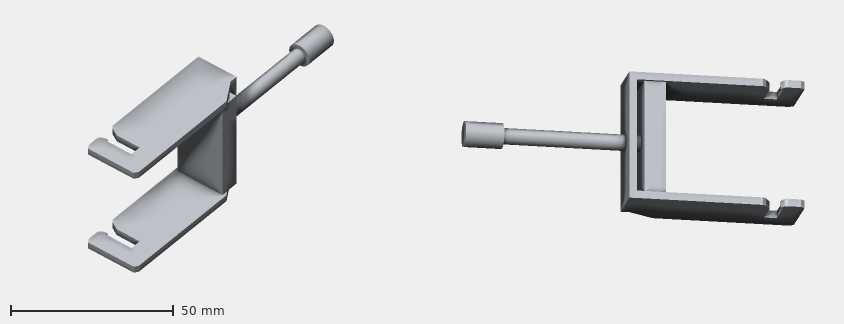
import cadquery as cq

total_length = 105.1
bracket_width = 20.0
bracket_height = 40.6
bracket_length = 55.0
wall = 2.4
corner_chamfer_x = 0.9
corner_chamfer_y = 1.4

rear_width = 15.1
bevel_start = 2.9
bevel_end = 10.9

slot_front = 6.4
slot_back = 10.4
slot_depth = 12.9
lead_in_depth = 3.8
lead_in_back = 13.1
lead_in_corner_x = 0.7
lead_in_corner_y = 12.2
tooth_tip = 7.1
tooth_inner = 2.8
tooth_outer = 1.9
tooth_ramp_x = 0.7
tooth_ramp_y = 6.5
tooth_round_front = 5.3

block_inset = 1.0
block_gap = 4.8
block_thickness = 6.7

rod_diameter = 5.0
head_diameter = 8.0
head_length = 12.0
screw_x = 8.9

inner_height = bracket_height - 2 * wall
block_back = bracket_length - block_gap
block_front = block_back - block_thickness
block_width = bracket_width - 2 * block_inset


def make_arm(bottom_z):
    """Flat arm with a bevelled rear corner and a hooked side slot."""
    outline = [
        (0, corner_chamfer_y),
        (corner_chamfer_x, 0),
        (bracket_width - corner_chamfer_x, 0),
        (bracket_width, corner_chamfer_y),
        (bracket_width, bracket_length - bevel_end),
        (rear_width, bracket_length - bevel_start),
        (rear_width, bracket_length),
        (0, bracket_length),
        (0, lead_in_back),
        (lead_in_corner_x, lead_in_corner_y),
        (lead_in_depth, slot_back),
        (slot_depth, slot_back),
        (slot_depth, slot_front),
        (tooth_inner, slot_front),
        (tooth_inner, tooth_tip),
        (tooth_outer, tooth_tip),
        (tooth_ramp_x, tooth_ramp_y),
    ]
    return (
        cq.Workplane("XY")
        .workplane(offset=bottom_z)
        .polyline(outline)
        .tangentArcPoint((0, tooth_round_front), relative=False)
        .close()
        .extrude(wall)
    )


def make_rear_wall():
    """Wall that joins the two arms."""
    rear_wall = cq.Workplane("XY").box(rear_width, wall, bracket_height, centered=(False, False, True))
    return rear_wall.translate((0, bracket_length - wall, 0))


def make_block():
    """Clamping block filling the height between the arms."""
    block = cq.Workplane("XY").box(block_width, block_thickness, inner_height, centered=(False, False, True))
    return block.translate((block_inset, block_front, 0))


def make_cylinder(diameter, start_y, end_y):
    """Cylinder on the screw axis, running along Y."""
    start = cq.Vector(screw_x, start_y, 0)
    return cq.Workplane(cq.Solid.makeCylinder(diameter / 2, end_y - start_y, start, cq.Vector(0, 1, 0)))


head_start = total_length - head_length
rod = make_cylinder(rod_diameter, block_back, head_start)
head = make_cylinder(head_diameter, head_start, total_length)

result = make_rear_wall()
for arm_z in (-bracket_height / 2, bracket_height / 2 - wall):
    result = result.union(make_arm(arm_z))
result = result.union(make_block()).union(rod).union(head)